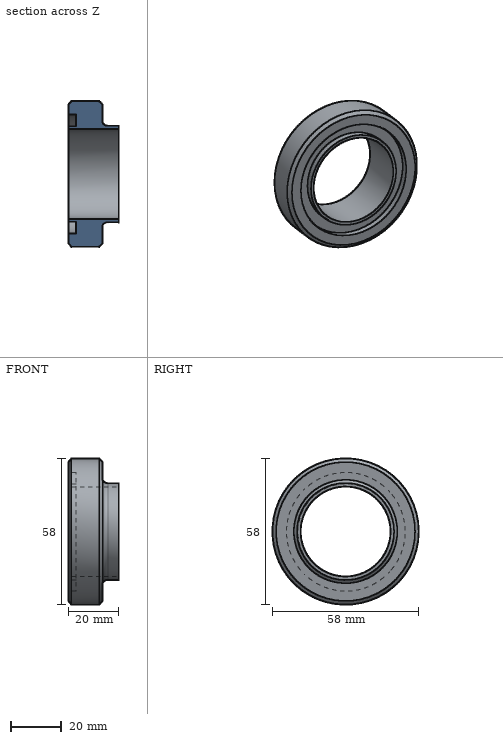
import cadquery as cq

outer_diameter = 58.0
length = 20.0
bore_diameter = 35.5
hub_diameter = 38.4
flange_width = 13.6

front_chamfer_width = 1.2
back_chamfer_width = 1.4
chamfer_height = 1.5

groove_inner_diameter = 38.0
groove_outer_diameter = 47.0
groove_depth = 3.0

flare_width = 1.9
flare_height = 1.3

outer_radius = outer_diameter / 2
hub_radius = hub_diameter / 2
bore_radius = bore_diameter / 2
face_radius = outer_radius - chamfer_height
flare_end = flange_width + flare_width

body = (
    cq.Workplane("XY")
    .moveTo(length, bore_radius)
    .lineTo(length, hub_radius)
    .lineTo(flare_end, hub_radius)
    .tangentArcPoint((flange_width, hub_radius + flare_height), relative=False)
    .lineTo(flange_width, face_radius)
    .lineTo(flange_width - back_chamfer_width, outer_radius)
    .lineTo(front_chamfer_width, outer_radius)
    .lineTo(0, face_radius)
    .lineTo(0, bore_radius)
    .close()
    .revolve(360, (0, 0, 0), (1, 0, 0))
)

groove = (
    cq.Workplane("YZ")
    .circle(groove_outer_diameter / 2)
    .circle(groove_inner_diameter / 2)
    .extrude(groove_depth)
)

result = body.cut(groove)